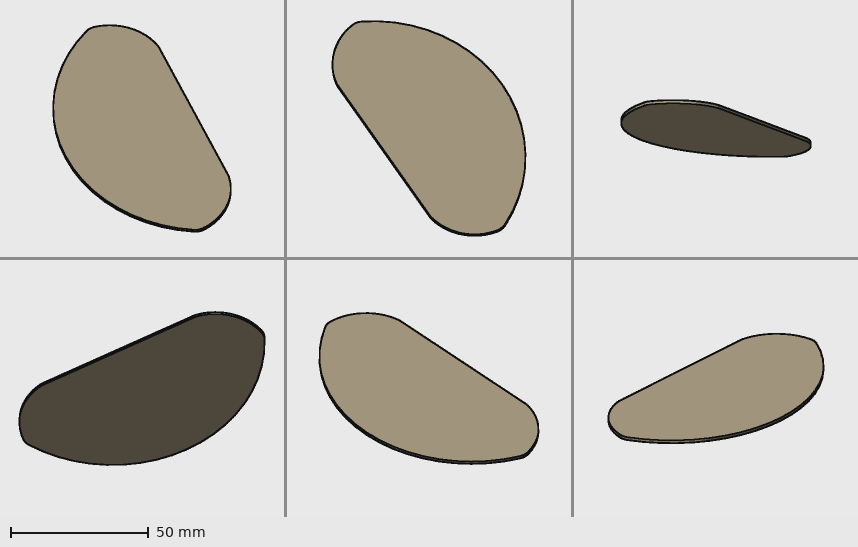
import cadquery as cq
import math

depth = 50.67
thickness = 1.25
front_radius = 55.2
shoulder_radius = 21.08
shoulder_center_x = 28.6
shoulder_drop = 20.82
tip_radius = 6.0

back_y = depth / 2
front_y = -depth / 2
front_center_y = front_y + front_radius
shoulder_center_y = back_y - shoulder_drop

back_half_width = shoulder_center_x + math.sqrt(shoulder_radius**2 - shoulder_drop**2)


def shoulder_point(angle):
    """Point on the right shoulder arc at an angle in radians from +X."""
    x = shoulder_center_x + shoulder_radius * math.cos(angle)
    y = shoulder_center_y + shoulder_radius * math.sin(angle)
    return x, y


def tip_angle():
    """Shoulder arc angle at its outer crossing with the front arc."""
    rise = front_center_y - shoulder_center_y
    distance = math.hypot(shoulder_center_x, rise)
    cosine = (front_radius**2 - shoulder_radius**2 - distance**2) / (2 * shoulder_radius * distance)
    away_from_front_center = math.atan2(-rise, shoulder_center_x)
    return away_from_front_center + math.acos(cosine)


def mirrored(point):
    """Matching point on the left half of the plate."""
    return -point[0], point[1]


def make_plate():
    """Flat plate bounded by the back edge, two shoulder arcs and the front arc."""
    back_corner = (back_half_width, back_y)
    back_angle = math.atan2(shoulder_drop, back_half_width - shoulder_center_x)
    tip = shoulder_point(tip_angle())
    shoulder_middle = shoulder_point((back_angle + tip_angle()) / 2)
    return (
        cq.Workplane("XY")
        .moveTo(*mirrored(back_corner))
        .lineTo(*back_corner)
        .threePointArc(shoulder_middle, tip)
        .threePointArc((0, front_y), mirrored(tip))
        .threePointArc(mirrored(shoulder_middle), mirrored(back_corner))
        .close()
        .extrude(thickness)
    )


def round_tips(plate):
    """Blend the two outer tips, the vertical edges farthest out in X."""
    tips = plate.edges("|Z").edges("<X or >X")
    return tips.fillet(tip_radius)


result = round_tips(make_plate())